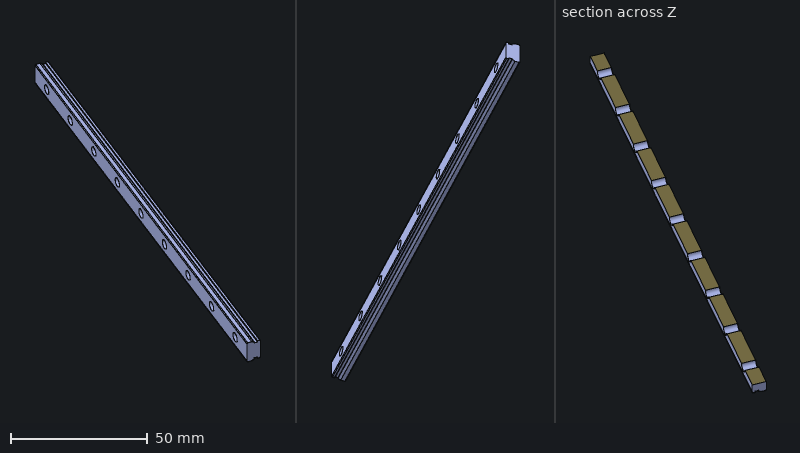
import cadquery as cq

length = 180.0
depth = 5.5
height = 9.0

edge_chamfer = 0.4
head_end = 2.0
groove_start = 3.0
groove_end = 4.3
shoulder_half_height = 4.0
groove_half_height = 3.6
land_half_height = 4.1

hole_count = 9
hole_pitch = length / hole_count
hole_diameter = 3.6


def make_rail():
    """Extrude the section, which is symmetric about Z = 0."""
    front = -depth / 2
    back = depth / 2
    head_half_height = height / 2
    upper = [
        (front, head_half_height - edge_chamfer),
        (front + edge_chamfer, head_half_height),
        (front + head_end, head_half_height),
        (front + groove_start, shoulder_half_height),
        (front + groove_start, groove_half_height),
        (front + groove_end, groove_half_height),
        (front + groove_end, land_half_height),
        (back - edge_chamfer, land_half_height),
        (back, land_half_height - edge_chamfer),
    ]
    lower = [(y, -z) for y, z in reversed(upper)]
    section = cq.Workplane("YZ").polyline(upper + lower).close()
    return section.extrude(length / 2, both=True)


def drill_holes(rail):
    """Drill evenly spaced holes through the depth of the rail."""
    return (
        rail.faces("<Y")
        .workplane(centerOption="CenterOfBoundBox")
        .rarray(hole_pitch, 1.8, hole_count, 1)
        .hole(hole_diameter)
    )


result = drill_holes(make_rail())